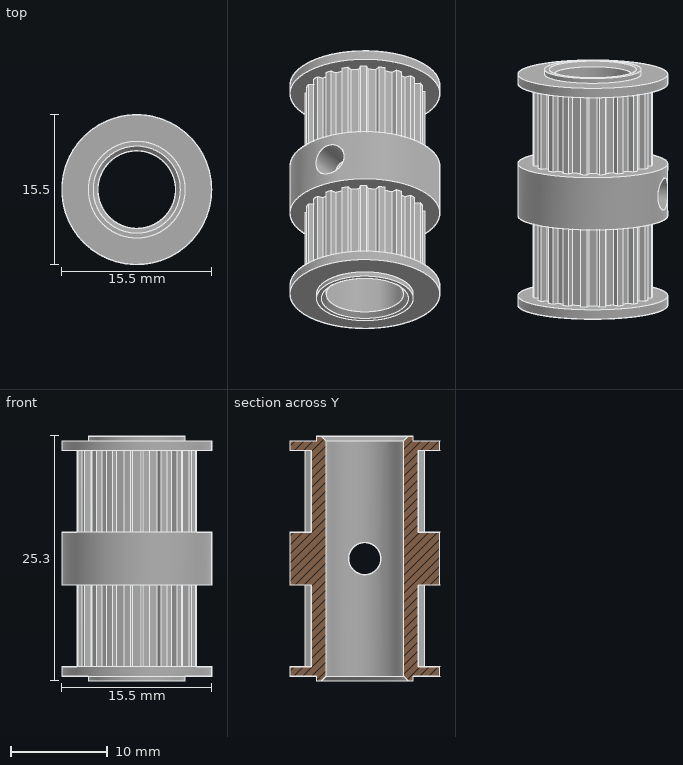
import cadquery as cq
import math

collar_height = 0.5
flange_thickness = 1.0
toothed_length = 8.4
hub_length = 5.5
total_length = hub_length + 2 * (toothed_length + flange_thickness + collar_height)

flange_diameter = 15.5
collar_diameter = 10.0
bore_diameter = 8.0
bore_chamfer = 0.5

tooth_count = 20
tooth_tip_diameter = 12.42
groove_depth = 0.66
groove_floor_width = 0.84
groove_half_angle = 20.0
groove_overcut = 0.3

screw_hole_diameter = 3.3


def disc(diameter, bottom, height):
    """Solid disc on the Z axis."""
    return cq.Workplane("XY").workplane(offset=bottom).circle(diameter / 2).extrude(height)


def belt_groove(bottom):
    """Trapezoidal cutter for one belt groove, opening toward +X."""
    floor_radius = tooth_tip_diameter / 2 - groove_depth
    mouth_radius = tooth_tip_diameter / 2 + groove_overcut
    half_floor = groove_floor_width / 2
    flank_run = (mouth_radius - floor_radius) * math.tan(math.radians(groove_half_angle))
    half_mouth = half_floor + flank_run
    return (
        cq.Workplane("XY")
        .workplane(offset=bottom)
        .moveTo(floor_radius, -half_floor)
        .lineTo(mouth_radius, -half_mouth)
        .lineTo(mouth_radius, half_mouth)
        .lineTo(floor_radius, half_floor)
        .close()
        .extrude(toothed_length)
    )


def toothed_section(bottom):
    """Cylinder with evenly spaced belt grooves, one of them centred on +X."""
    section = disc(tooth_tip_diameter, bottom, toothed_length)
    groove = belt_groove(bottom)
    for index in range(tooth_count):
        angle = index * 360 / tooth_count
        section = section.cut(groove.rotate((0, 0, 0), (0, 0, 1), angle))
    return section


def pulley_half():
    """Upper half: half of the hub, toothed section, flange and end collar."""
    teeth_bottom = hub_length / 2
    flange_bottom = teeth_bottom + toothed_length
    collar_bottom = flange_bottom + flange_thickness
    return (
        disc(flange_diameter, 0, teeth_bottom)
        .union(toothed_section(teeth_bottom))
        .union(disc(flange_diameter, flange_bottom, flange_thickness))
        .union(disc(collar_diameter, collar_bottom, collar_height))
    )


def chamfered_bore():
    """Through bore cutter, widened by a chamfer at both ends."""
    radius = bore_diameter / 2
    half_length = total_length / 2
    return (
        cq.Workplane("XZ")
        .moveTo(0, -half_length)
        .lineTo(radius + bore_chamfer, -half_length)
        .lineTo(radius, bore_chamfer - half_length)
        .lineTo(radius, half_length - bore_chamfer)
        .lineTo(radius + bore_chamfer, half_length)
        .lineTo(0, half_length)
        .close()
        .revolve(360, (0, 0, 0), (0, 1, 0))
    )


def screw_hole():
    """Radial hole from the axis out through the +Y side of the hub."""
    return cq.Workplane("XZ").circle(screw_hole_diameter / 2).extrude(-flange_diameter / 2)


upper_half = pulley_half()
lower_half = upper_half.mirror("XY")
result = upper_half.union(lower_half).cut(chamfered_bore()).cut(screw_hole())